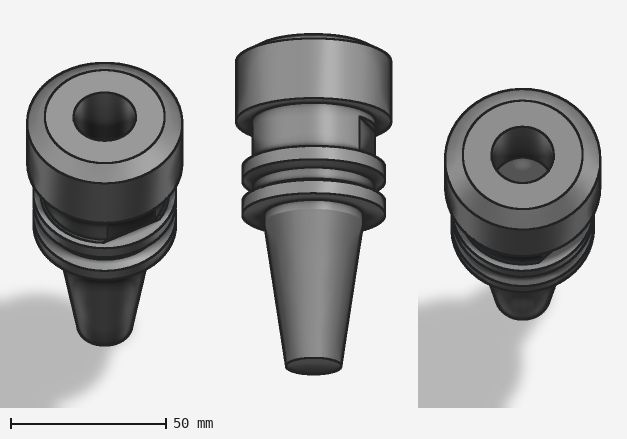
import cadquery as cq

taper_top = 47.9
flange_bottom = 51.1
groove_lower_edge = 55.5
groove_floor_bottom = 57.1
groove_floor_top = 60.8
groove_upper_edge = 62.5
flange_top = 67.1
neck_foot_height = 0.7
flat_top = 80.0
nut_bottom = 82.6
nut_bevel_bottom = 102.7
total_height = 106.0

taper_small_diameter = 17.8
taper_large_diameter = 31.8
flange_diameter = 46.0
groove_diameter = 39.2
neck_diameter = 40.0
neck_foot_diameter = 41.4
nut_diameter = 50.0
nut_face_diameter = 38.6
bore_diameter = 20.0

flat_spacing = 36.0
bore_depth = total_height - nut_bottom


def make_body():
    """Revolve the half profile, listed as (diameter, height) from bottom to top."""
    profile = [
        (0, 0),
        (taper_small_diameter, 0),
        (taper_large_diameter, taper_top),
        (taper_large_diameter, flange_bottom),
        (flange_diameter, flange_bottom),
        (flange_diameter, groove_lower_edge),
        (groove_diameter, groove_floor_bottom),
        (groove_diameter, groove_floor_top),
        (flange_diameter, groove_upper_edge),
        (flange_diameter, flange_top),
        (neck_foot_diameter, flange_top),
        (neck_diameter, flange_top + neck_foot_height),
        (neck_diameter, nut_bottom),
        (nut_diameter, nut_bottom),
        (nut_diameter, nut_bevel_bottom),
        (nut_face_diameter, total_height),
        (0, total_height),
    ]
    points = [(diameter / 2, height) for diameter, height in profile]
    return cq.Workplane("XZ").polyline(points).close().revolve(360, (0, 0), (0, 1))


def cut_wrench_flats(body):
    """Cut two parallel flats on the -X and +X sides of the neck."""
    cut_thickness = (flange_diameter - flat_spacing) / 2
    center_offset = (flat_spacing + cut_thickness) / 2
    for side in (-1, 1):
        cutter = (
            cq.Workplane("XY", origin=(side * center_offset, 0, flange_top))
            .box(cut_thickness, flange_diameter, flat_top - flange_top, centered=(True, True, False))
        )
        body = body.cut(cutter)
    return body


def cut_bore(body):
    """Cut the blind collet bore down from the top face."""
    bore = (
        cq.Workplane("XY", origin=(0, 0, total_height - bore_depth))
        .circle(bore_diameter / 2)
        .extrude(bore_depth)
    )
    return body.cut(bore)


result = cut_bore(cut_wrench_flats(make_body()))